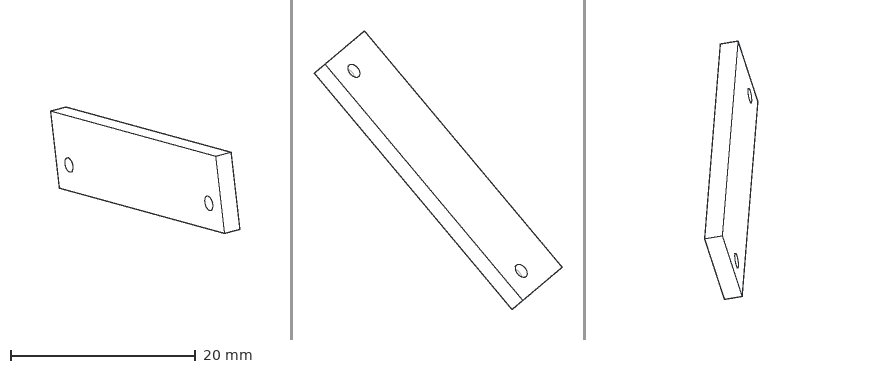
import cadquery as cq

plate_length = 33.33
plate_height = 8.665
plate_thickness = 2.0

hole_diameter = 1.6
hole_spacing = 28.2
hole_edge_distance = 3.0

tilt_about_x = -12.78
tilt_about_y = -28.59
tilt_about_z = 15.59


def make_plate():
    """Rectangular plate centred on the origin, with its broad faces normal to Y."""
    return cq.Workplane("XY").box(plate_length, plate_thickness, plate_height)


def make_hole_pins():
    """Cylinders that span the full thickness at the two hole positions."""
    hole_height = hole_edge_distance - plate_height / 2
    return (
        cq.Workplane("XZ")
        .pushPoints([(side * hole_spacing / 2, hole_height) for side in (-1, 1)])
        .circle(hole_diameter / 2)
        .extrude(plate_thickness, both=True)
    )


def tilt(part):
    """Turn the part about the origin into its final attitude."""
    origin = (0, 0, 0)
    part = part.rotate(origin, (1, 0, 0), tilt_about_x)
    part = part.rotate(origin, (0, 1, 0), tilt_about_y)
    return part.rotate(origin, (0, 0, 1), tilt_about_z)


result = tilt(make_plate().cut(make_hole_pins()))